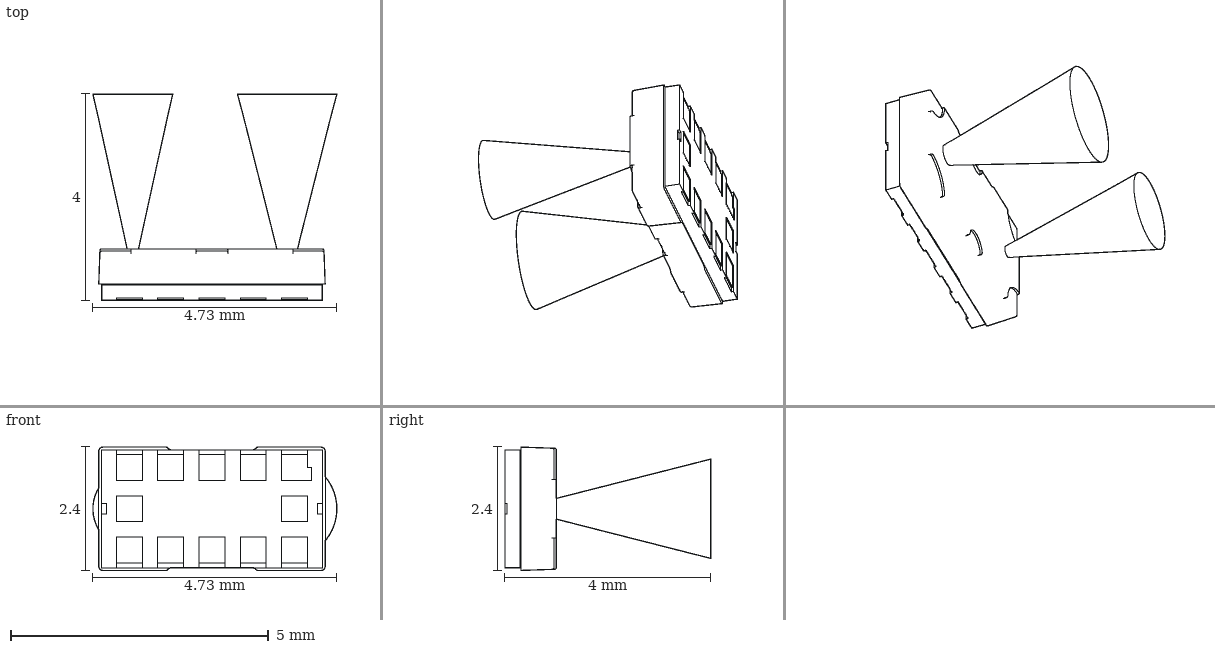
import cadquery as cq
import math


package_depth = 1.0
board_thickness = 0.3
cover_gap = 0.015
cover_base = board_thickness + cover_gap
cover_depth = package_depth - cover_base
cone_length = 3.0

board_length = 4.285
board_width = 2.29
mask_thickness = 0.045
pad_pitch = 0.8
pad_size = 0.502
pad_recess = 0.02
pad_columns = 5
pad_rows = 3
key_tab_length = 0.075
key_tab_width = pad_size / 2
end_notch_length = 0.095
end_notch_width = 0.205

cover_length = 4.4
cover_width = 2.4
cover_waist_width = 2.275
cover_draft = 2.0
cover_corner_radius = 0.085
waist_floor_half = 0.75
waist_mouth_half = 0.89
waist_lip_run = 0.03
rim_radius = 0.04
scallop_depth = 0.045
scallop_rim_radius = 0.047
corner_scallop_radius = 0.63
waist_scallop_radius = 0.31

emitter_cone = (-1.535, 0.115, 0.775)
receiver_cone = (1.46, 0.205, 0.965)


def box(x_range, y_range, z_range):
    """Axis-aligned box from its limits along each axis."""
    sizes = [high - low for low, high in (x_range, y_range, z_range)]
    corner = (x_range[0], y_range[0], z_range[0])
    return cq.Workplane("XY").box(*sizes, centered=False).translate(corner)


def centred_box(x, z, length, width, y_range):
    """Box centred on (x, z) that fills the given Y range."""
    return box((x - length / 2, x + length / 2), y_range, (z - width / 2, z + width / 2))



def pad_pocket(column, row):
    """Mask opening for one pad; outer-row openings drop a step and run out through the board edge."""
    x = column * pad_pitch
    z = row * pad_pitch
    pocket = centred_box(x, z, pad_size, pad_size, (0, pad_recess))
    if row != 0:
        pad_edge = pad_pitch + pad_size / 2
        strip_width = board_width / 2 - pad_edge
        strip_z = row * (pad_edge + strip_width / 2)
        pocket = pocket.union(centred_box(x, strip_z, pad_size, strip_width, (0, mask_thickness)))
    return pocket


def key_tab_pocket():
    """Extension of the corner pad that marks pin 1."""
    tab_start = 2 * pad_pitch + pad_size / 2
    tab_bottom = pad_pitch - pad_size / 2
    return box((tab_start, tab_start + key_tab_length), (0, pad_recess),
               (tab_bottom, tab_bottom + key_tab_width))


def make_board():
    """Slab with recessed pads on its solder face and a small notch at each end."""
    board = centred_box(0, 0, board_length, board_width, (0, board_thickness))
    last_column = pad_columns // 2
    last_row = pad_rows // 2
    for column in range(-last_column, last_column + 1):
        for row in range(-last_row, last_row + 1):
            if row != 0 or abs(column) == last_column:
                board = board.cut(pad_pocket(column, row))
    board = board.cut(key_tab_pocket())
    for side in (-1, 1):
        notch_x = side * (board_length - end_notch_length) / 2
        board = board.cut(centred_box(notch_x, 0, end_notch_length, end_notch_width, (0, mask_thickness)))
    return board



def cover_outline():
    """Rounded rectangle whose long sides step in to a waist over a smooth S-curve."""
    half_length = cover_length / 2
    outer = cover_width / 2
    floor = cover_waist_width / 2
    radius = cover_corner_radius
    diagonal = radius * (1 - math.sqrt(0.5))
    run = waist_mouth_half - waist_floor_half
    slope = (outer - floor) / run
    lip_x = waist_mouth_half - waist_lip_run
    lip_z = outer - waist_lip_run * slope

    def long_side(sketch, side):
        """Long side on +Z (side 1, run towards -X) or -Z (side -1, run towards +X)."""
        return (
            sketch.lineTo(side * waist_mouth_half, side * outer)
            .tangentArcPoint((side * lip_x, side * lip_z), relative=False)
            .tangentArcPoint((side * waist_floor_half, side * floor), relative=False)
            .lineTo(-side * waist_floor_half, side * floor)
            .tangentArcPoint((-side * lip_x, side * lip_z), relative=False)
            .tangentArcPoint((-side * waist_mouth_half, side * outer), relative=False)
            .lineTo(-side * (half_length - radius), side * outer)
            .threePointArc((-side * (half_length - diagonal), side * (outer - diagonal)),
                           (-side * half_length, side * (outer - radius)))
            .lineTo(-side * half_length, -side * (outer - radius))
            .threePointArc((-side * (half_length - diagonal), -side * (outer - diagonal)),
                           (-side * (half_length - radius), -side * outer))
        )

    sketch = cq.Workplane("XZ", origin=(0, cover_base, 0)).moveTo(half_length - radius, outer)
    return long_side(long_side(sketch, 1), -1).close()


def rounded_block(depth, edge_radius):
    """Drafted cover block of the given depth, with the rim of its back face rounded."""
    block = cover_outline().extrude(-depth, taper=cover_draft)
    return block.faces(">Y").edges().fillet(edge_radius)


def scallop(x, z, radius):
    """Cylinder along Y that spans the stepped and rounded stretch of the rim."""
    bottom = package_depth - scallop_depth - scallop_rim_radius
    return (
        cq.Workplane("XZ", origin=(0, bottom, 0))
        .center(x, z)
        .circle(radius)
        .extrude(-(package_depth - bottom))
    )


def make_cover():
    """Block with scallops stepped into its back face at the four corners and both waists."""
    cover = rounded_block(cover_depth, rim_radius)
    stepped_block = rounded_block(cover_depth - scallop_depth, scallop_rim_radius)
    for z_side in (-1, 1):
        scallops = [scallop(0, z_side * cover_waist_width / 2, waist_scallop_radius)]
        for x_side in (-1, 1):
            scallops.append(
                scallop(x_side * cover_length / 2, z_side * cover_width / 2, corner_scallop_radius)
            )
        for cutter in scallops:
            cover = cover.cut(cutter.cut(stepped_block))
    return cover



def make_cone(centre_x, near_radius, far_radius):
    """Truncated cone that stands on the back face of the cover and widens along +Y."""
    far_end = package_depth + cone_length
    return (
        cq.Workplane("YZ", origin=(centre_x, 0, 0))
        .moveTo(package_depth, 0)
        .lineTo(package_depth, near_radius)
        .lineTo(far_end, far_radius)
        .lineTo(far_end, 0)
        .close()
        .revolve(360, (0, 0), (1, 0))
    )



board = make_board()
cover = make_cover()
cones = [make_cone(*cone) for cone in (emitter_cone, receiver_cone)]

bodies = [*board.solids().vals(), *cover.solids().vals(), *[cone.val() for cone in cones]]
result = cq.Compound.makeCompound(bodies)